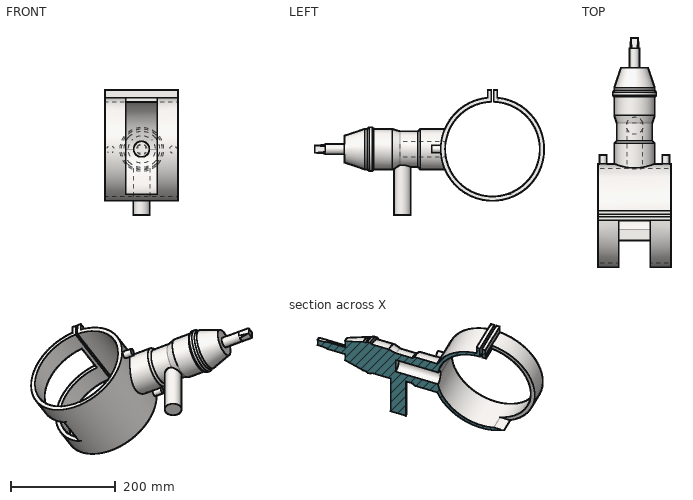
import cadquery as cq

RING_WIDTH = 140.0
RING_OUTER_RADIUS = 99.0
RING_WALL = 8.6
RING_INNER_RADIUS = RING_OUTER_RADIUS - RING_WALL

FLANGE_TOP_Z = 113.3
FLANGE_THICKNESS = 7.2
SLIT_WIDTH = 4.0

WINDOW_WIDTH = 60.0
WINDOW_EDGE_Y = -10.0
WINDOW_FLOOR_Z = -86.5

BODY_RADIUS = 39.0
NECK_RADIUS = 34.4
COLLAR_RADIUS = 42.0
CAP_END_RADIUS = 26.0
NECK_START_Y = 142.7
SHOULDER_HEIGHT = BODY_RADIUS - NECK_RADIUS
NECK_END_Y = 177.0
BARREL_START_Y = 191.5
COLLAR_BOTTOM_Y = 226.8
COLLAR_LOWER_EDGE_Y = 230.0
COLLAR_UPPER_EDGE_Y = 235.5
COLLAR_TOP_Y = 239.5
CAP_START_Y = 244.5
CAP_END_Y = 283.0

STEM_RADIUS = 10.0
STEM_END_Y = 339.88
DRIVE_LENGTH = 20.0
DRIVE_TIP_SIZE = 14.0
DRIVE_BASE_SIZE = 17.2

BORE_RADIUS = 15.0
BORE_END_Y = NECK_END_Y

BRANCH_RADIUS = 16.2
BRANCH_Y = 172.3
BRANCH_END_Z = -126.29

PIN_RADIUS = 7.0
PIN_END_Y = 116.0
PIN_OFFSET_X = 60.0


def cylinder_along_y(radius, start_y, end_y, x=0.0):
    """Solid cylinder along +Y, centred at height zero."""
    base = cq.Workplane("XZ", origin=(x, start_y, 0))
    return base.circle(radius).extrude(start_y - end_y)


def box_between(width, y_range, z_range):
    """Box centred on X = 0 that spans the given Y and Z ranges."""
    y_min, y_max = y_range
    z_min, z_max = z_range
    box = cq.Workplane("XY").box(width, y_max - y_min, z_max - z_min)
    return box.translate((0, (y_min + y_max) / 2, (z_min + z_max) / 2))


def ring_cylinder(radius):
    """Solid cylinder as wide as the clamp ring."""
    return cq.Workplane("YZ").circle(radius).extrude(RING_WIDTH / 2, both=True)


def make_clamp():
    """Outer clamp shape: ring blank and flange block, not yet hollow or slit."""
    flange_outer_y = SLIT_WIDTH / 2 + FLANGE_THICKNESS
    flanges = box_between(RING_WIDTH, (-flange_outer_y, flange_outer_y), (0, FLANGE_TOP_Z))
    window = box_between(
        WINDOW_WIDTH,
        (-RING_OUTER_RADIUS, WINDOW_EDGE_Y),
        (WINDOW_FLOOR_Z, RING_OUTER_RADIUS),
    )
    return ring_cylinder(RING_OUTER_RADIUS).union(flanges).cut(window)


def make_valve_body():
    """Turned valve body; it starts at the ring centre so that it meets the ring wall."""
    outline = [
        (0, 0),
        (BODY_RADIUS, 0),
        (BODY_RADIUS, NECK_START_Y - SHOULDER_HEIGHT),
        (NECK_RADIUS, NECK_START_Y),
        (NECK_RADIUS, NECK_END_Y),
        (BODY_RADIUS, BARREL_START_Y),
        (BODY_RADIUS, COLLAR_BOTTOM_Y),
        (COLLAR_RADIUS, COLLAR_LOWER_EDGE_Y),
        (COLLAR_RADIUS, COLLAR_UPPER_EDGE_Y),
        (BODY_RADIUS, COLLAR_TOP_Y),
        (BODY_RADIUS, CAP_START_Y),
        (CAP_END_RADIUS, CAP_END_Y),
        (0, CAP_END_Y),
    ]
    return cq.Workplane("XY").polyline(outline).close().revolve(360, (0, 0, 0), (0, 1, 0))


def make_stem():
    """Round stem whose tip is cut to a tapered square."""
    drive_start_y = STEM_END_Y - DRIVE_LENGTH
    shaft = cylinder_along_y(STEM_RADIUS, CAP_END_Y, drive_start_y)
    square_taper = (
        cq.Workplane("XZ", origin=(0, drive_start_y, 0))
        .rect(DRIVE_BASE_SIZE, DRIVE_BASE_SIZE)
        .workplane(offset=-DRIVE_LENGTH)
        .rect(DRIVE_TIP_SIZE, DRIVE_TIP_SIZE)
        .loft(combine=True)
    )
    drive = square_taper.intersect(cylinder_along_y(STEM_RADIUS, drive_start_y, STEM_END_Y))
    return shaft.union(drive)


def make_branch():
    """Branch pipe running down from the valve axis."""
    return cq.Workplane("XY").center(0, BRANCH_Y).circle(BRANCH_RADIUS).extrude(BRANCH_END_Z)


def make_pins():
    """Pins on both sides of the valve; they start inside the ring wall."""
    pins = cq.Workplane("XY")
    for side in (-1, 1):
        pins = pins.add(cylinder_along_y(PIN_RADIUS, RING_INNER_RADIUS, PIN_END_Y, side * PIN_OFFSET_X))
    return pins.combine()


def make_part():
    """Join all outer shapes, then hollow the ring, slit the flanges and drill the bore."""
    part = make_clamp()
    for piece in (make_valve_body(), make_stem(), make_branch(), make_pins()):
        part = part.union(piece)
    slit = box_between(RING_WIDTH, (-SLIT_WIDTH / 2, SLIT_WIDTH / 2), (0, FLANGE_TOP_Z))
    part = part.cut(ring_cylinder(RING_INNER_RADIUS))
    part = part.cut(slit)
    return part.cut(cylinder_along_y(BORE_RADIUS, 0, BORE_END_Y))


result = make_part()